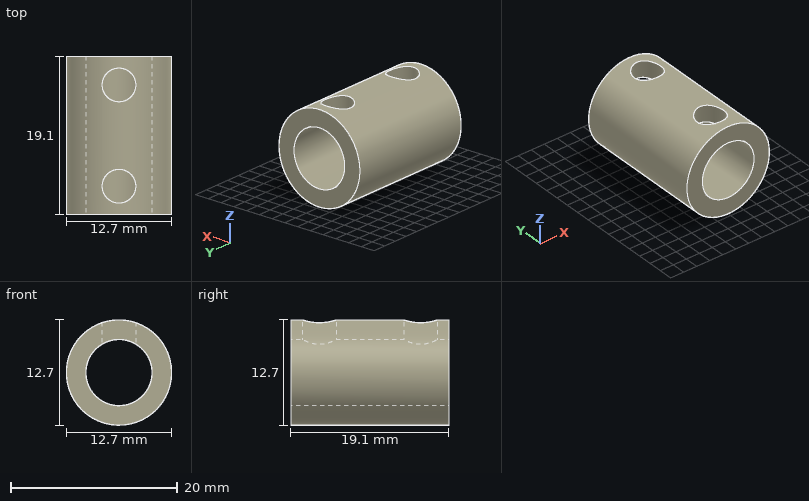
import cadquery as cq

length = 19.05
outer_diameter = 12.7
bore_diameter = 7.95

hole_diameter = 4.05
hole_spacing = 12.2


def make_sleeve():
    """Plain tube with its axis along Y."""
    return (
        cq.Workplane("XZ")
        .circle(outer_diameter / 2)
        .circle(bore_diameter / 2)
        .extrude(length / 2, both=True)
    )


def make_wall_holes():
    """Vertical cutters running from the bore axis out past the top."""
    return (
        cq.Workplane("XY")
        .pushPoints([(0, -hole_spacing / 2), (0, hole_spacing / 2)])
        .circle(hole_diameter / 2)
        .extrude(outer_diameter)
    )


result = make_sleeve().cut(make_wall_holes())